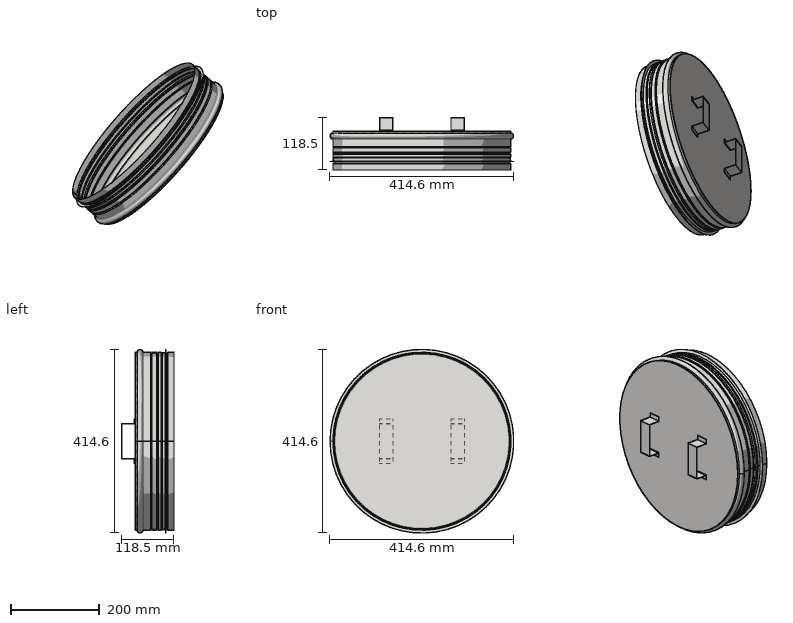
import cadquery as cq
import math

sheet = 0.7
drum_outer_radius = 401.6 / 2
drum_inner_radius = drum_outer_radius - sheet
drum_length = 87.3
joint_gap = 0.2

bead_center_y = 76.7
bead_outer_radius = 7.0
bead_neck_radius = 1.0
bead_crest_radius = 414.6 / 2
bead_center_radius = bead_crest_radius - bead_outer_radius

groove_floor_radius = 397 / 2
groove_slope = 2.4
rear_groove_start = 35.0
rear_groove_end = 53.5
front_groove_start = 13.6
front_groove_end = 29.8

flat_seal_start = 39.6
flat_seal_end = 50.0
flat_seal_chamfer = 0.6

lip_seal_start = 18.7
lip_seal_end = 26.6
lip_seal_radius = 400.6 / 2
lip_tip_radius = bead_crest_radius
lip_tip_thickness = 0.4
lip_root_thickness = 1.4

plate_radius = 400.6 / 2
flange_thickness = 1.2
plate_back_y = drum_length + flange_thickness
disc_front_y = 83.6
rim_front_y = 82.2
rim_inner_radius = 197.2
rim_fillet = 1.2

handle_spacing = 161.0
handle_width = 30.0
handle_span = 80.0
handle_height = 30.0
handle_thickness = 1.5
handle_foot_length = 10.0
handle_bend_radius = 1.5


def revolve_about_y(profile):
    """Turn a closed profile, drawn on the -X side of the XY plane, around the Y axis."""
    return profile.close().revolve(360, (0, 0, 0), (0, 1, 0))


def groove_outline(profile, start, end, rim_radius, floor_radius):
    """Add a groove running from its end nearer the plate to its end nearer the opening."""
    return (
        profile.lineTo(-rim_radius, end)
        .lineTo(-floor_radius, end - groove_slope)
        .lineTo(-floor_radius, start + groove_slope)
        .lineTo(-rim_radius, start)
    )


def bead_outline(profile, inset):
    """Add the bead from its plate side to its open side: neck arc, round crest, neck arc."""
    rim_radius = drum_outer_radius - inset
    bead_radius = bead_outer_radius - inset
    neck_radius = bead_neck_radius + inset
    neck_center_radius = rim_radius + neck_radius
    center_distance = bead_radius + neck_radius
    radial_offset = neck_center_radius - bead_center_radius
    neck_angle = math.asin(radial_offset / center_distance)
    neck_offset_y = center_distance * math.cos(neck_angle)
    tangent_radius = bead_center_radius + bead_radius * math.sin(neck_angle)
    tangent_offset_y = bead_radius * math.cos(neck_angle)
    return (
        profile.lineTo(-rim_radius, bead_center_y + neck_offset_y)
        .radiusArc((-tangent_radius, bead_center_y + tangent_offset_y), neck_radius)
        .threePointArc(
            (-bead_center_radius - bead_radius, bead_center_y),
            (-tangent_radius, bead_center_y - tangent_offset_y),
        )
        .radiusArc((-rim_radius, bead_center_y - neck_offset_y), neck_radius)
    )


def drum_envelope(inset):
    """Solid bounded by the sheet's outer surface, or by a surface at an inset below it."""
    rim_radius = drum_outer_radius - inset
    floor_radius = groove_floor_radius - inset
    profile = cq.Workplane("XY").lineTo(0, drum_length).lineTo(-rim_radius, drum_length)
    profile = bead_outline(profile, inset)
    profile = groove_outline(profile, rear_groove_start, rear_groove_end, rim_radius, floor_radius)
    profile = groove_outline(profile, front_groove_start, front_groove_end, rim_radius, floor_radius)
    return revolve_about_y(profile.lineTo(-rim_radius, 0))


def make_drum():
    joint = cq.Workplane("XY").box(
        bead_crest_radius, drum_length, joint_gap, centered=(False, False, True)
    )
    joint = joint.translate((-bead_crest_radius, 0, 0))
    return drum_envelope(0).cut(drum_envelope(sheet)).cut(joint)


def make_flat_seal():
    return revolve_about_y(
        cq.Workplane("XY")
        .moveTo(-groove_floor_radius, flat_seal_start)
        .lineTo(-drum_outer_radius + flat_seal_chamfer, flat_seal_start)
        .lineTo(-drum_outer_radius, flat_seal_start + flat_seal_chamfer)
        .lineTo(-drum_outer_radius, flat_seal_end - flat_seal_chamfer)
        .lineTo(-drum_outer_radius + flat_seal_chamfer, flat_seal_end)
        .lineTo(-groove_floor_radius, flat_seal_end)
    )


def make_lip_seal():
    return revolve_about_y(
        cq.Workplane("XY")
        .moveTo(-groove_floor_radius, lip_seal_start)
        .lineTo(-lip_tip_radius, lip_seal_start)
        .lineTo(-lip_tip_radius, lip_seal_start + lip_tip_thickness)
        .lineTo(-lip_seal_radius, lip_seal_start + lip_root_thickness)
        .lineTo(-lip_seal_radius, lip_seal_end)
        .lineTo(-groove_floor_radius, lip_seal_end)
    )


def make_end_plate():
    return revolve_about_y(
        cq.Workplane("XY")
        .moveTo(0, plate_back_y)
        .lineTo(-plate_radius, plate_back_y)
        .lineTo(-plate_radius, drum_length)
        .lineTo(-drum_inner_radius, drum_length)
        .lineTo(-drum_inner_radius, rim_front_y)
        .lineTo(-rim_inner_radius, rim_front_y)
        .lineTo(-rim_inner_radius, disc_front_y - rim_fillet)
        .radiusArc((-rim_inner_radius + rim_fillet, disc_front_y), rim_fillet)
        .lineTo(0, disc_front_y)
    )


def make_handle(center_x):
    """Strip of constant thickness: foot, leg, grip, leg, foot."""
    grip_half = handle_span / 2
    foot_tip = grip_half + handle_foot_length
    grip_back_y = plate_back_y + handle_height
    foot_back_y = plate_back_y + handle_thickness
    inner_half = grip_half - handle_thickness
    strip = (
        cq.Workplane("YZ", origin=(center_x, 0, 0))
        .moveTo(plate_back_y, -foot_tip)
        .lineTo(foot_back_y, -foot_tip)
        .lineTo(foot_back_y, -grip_half)
        .lineTo(grip_back_y, -grip_half)
        .lineTo(grip_back_y, grip_half)
        .lineTo(foot_back_y, grip_half)
        .lineTo(foot_back_y, foot_tip)
        .lineTo(plate_back_y, foot_tip)
        .lineTo(plate_back_y, inner_half)
        .lineTo(grip_back_y - handle_thickness, inner_half)
        .lineTo(grip_back_y - handle_thickness, -inner_half)
        .lineTo(plate_back_y, -inner_half)
        .close()
        .extrude(handle_width / 2, both=True)
    )
    return strip.edges("|X and >Y").fillet(handle_bend_radius)


drum = make_drum()
flat_seal = make_flat_seal()
lip_seal = make_lip_seal()
end_plate = make_end_plate()
handles = [make_handle(side * handle_spacing / 2) for side in (-1, 1)]

result = cq.Compound.makeCompound(
    [
        drum.val(),
        flat_seal.val(),
        lip_seal.val(),
        end_plate.val(),
        *[handle.val() for handle in handles],
    ]
)